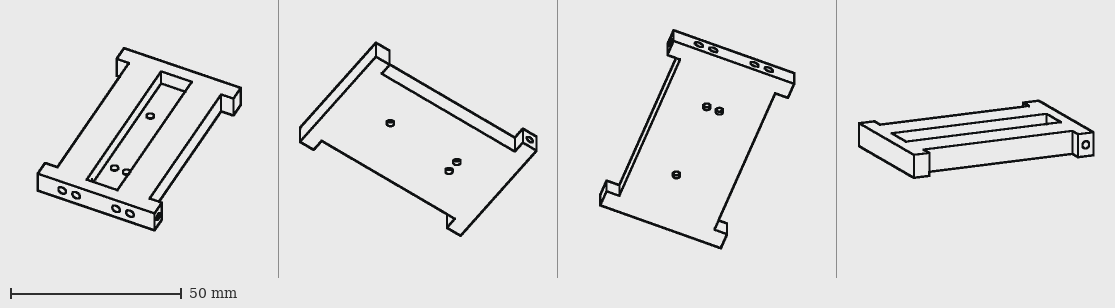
import cadquery as cq
import math

LENGTH = 58.0
WIDTH = 38.0
THICKNESS = 7.0
MID_HEIGHT = THICKNESS / 2

EAR_REACH = 4.0
EAR_LENGTH = 5.0

POCKET_WIDTH = 10.0
POCKET_LENGTH = 50.0
POCKET_DEPTH = 5.0

FLOOR_HOLE_DIAMETER = 2.2
FLOOR_HOLE_X = 2.0
FLOOR_HOLE_REAR_Y = 11.5
FLOOR_HOLE_FRONT_Y = -12.5

END_HOLE_DIAMETER = 2.5
END_HOLE_DEPTH = 8.0
DOWEL_HOLE_X = 6.5
DRILLED_HOLE_X = 11.0

SIDE_HOLE_DIAMETER = 2.2
SIDE_HOLE_DEPTH = 5.0
SIDE_HOLE_Y = (EAR_LENGTH - LENGTH) / 2

DRILL_POINT_ANGLE = 118.0


def make_plate():
    """I-shaped plate: a narrow body with a wider bar across each end."""
    body = cq.Workplane("XY").box(WIDTH - 2 * EAR_REACH, LENGTH, THICKNESS, centered=(True, True, False))
    for end in (-1, 1):
        bar = cq.Workplane("XY").box(WIDTH, EAR_LENGTH, THICKNESS, centered=(True, True, False))
        body = body.union(bar.translate((0, end * (LENGTH - EAR_LENGTH) / 2, 0)))
    return body


def make_pocket():
    pocket = cq.Workplane("XY").box(POCKET_WIDTH, POCKET_LENGTH, POCKET_DEPTH, centered=(True, True, False))
    return pocket.translate((0, 0, THICKNESS - POCKET_DEPTH))


def flat_hole(start, direction, diameter, depth):
    """Cylinder running from the start point into the part."""
    return cq.Solid.makeCylinder(diameter / 2, depth, cq.Vector(*start), cq.Vector(*direction))


def drilled_hole(start, direction, diameter, depth):
    """Cylinder of the given depth that ends in a conical drill point."""
    radius = diameter / 2
    point_length = radius / math.tan(math.radians(DRILL_POINT_ANGLE / 2))
    axis = cq.Vector(*direction)
    cone_start = cq.Vector(*start) + axis * depth
    cone = cq.Solid.makeCone(radius, 0, point_length, cone_start, axis)
    return flat_hole(start, direction, diameter, depth).fuse(cone)


result = make_plate().cut(make_pocket())

for x, y in (
    (-FLOOR_HOLE_X, FLOOR_HOLE_REAR_Y),
    (-FLOOR_HOLE_X, FLOOR_HOLE_FRONT_Y),
    (FLOOR_HOLE_X, FLOOR_HOLE_FRONT_Y),
):
    result = result.cut(flat_hole((x, y, 0), (0, 0, 1), FLOOR_HOLE_DIAMETER, THICKNESS))

for side in (-1, 1):
    dowel_start = (side * DOWEL_HOLE_X, -LENGTH / 2, MID_HEIGHT)
    drilled_start = (side * DRILLED_HOLE_X, -LENGTH / 2, MID_HEIGHT)
    side_start = (side * WIDTH / 2, SIDE_HOLE_Y, MID_HEIGHT)
    result = result.cut(flat_hole(dowel_start, (0, 1, 0), END_HOLE_DIAMETER, END_HOLE_DEPTH))
    result = result.cut(drilled_hole(drilled_start, (0, 1, 0), END_HOLE_DIAMETER, END_HOLE_DEPTH))
    result = result.cut(drilled_hole(side_start, (-side, 0, 0), SIDE_HOLE_DIAMETER, SIDE_HOLE_DEPTH))